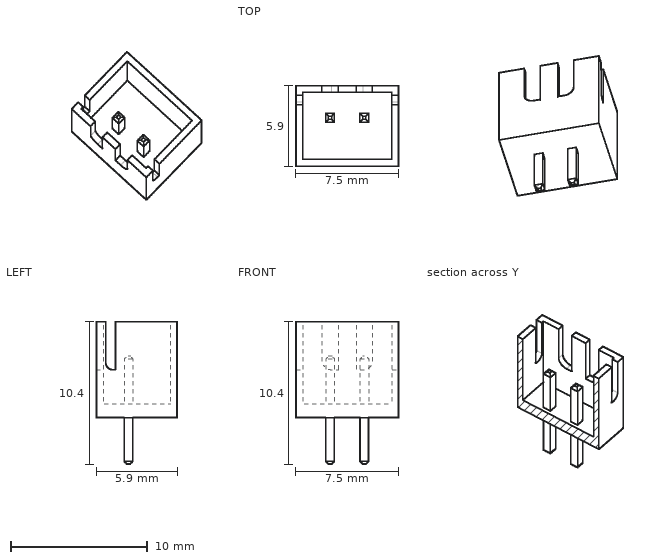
import cadquery as cq

length = 7.5
width = 5.9
height = 7.0
wall = 0.5
floor_thickness = 1.0
pin_to_back = 2.35

back_y = pin_to_back
front_y = back_y - width

slot_depth = 3.5
slot_floor_z = height - slot_depth

end_slot_offset = 0.7
end_slot_width = 0.7
end_slot_radius = 0.5

tongue_width = 1.3
back_slots_span = 3.7
back_slot_radius = 0.7

pin_pitch = 2.5
pin_side = 0.64
pin_tail = 3.4
pin_top_z = 4.5
pin_chamfer = 0.2


def make_housing():
    outer = cq.Workplane("XY").box(length, width, height, centered=(True, False, False))
    cavity = (
        cq.Workplane("XY")
        .workplane(offset=floor_thickness)
        .box(length - 2 * wall, width - 2 * wall, height, centered=(True, False, False))
        .translate((0, wall, 0))
    )
    return outer.cut(cavity).translate((0, front_y, 0))


def slot_profile(plane, rounded_side, square_side, radius):
    """Slot outline from its floor to the rim, with one bottom corner rounded."""
    inward = 1 if square_side > rounded_side else -1
    return (
        cq.Workplane(plane)
        .moveTo(rounded_side, height)
        .lineTo(rounded_side, slot_floor_z + radius)
        .radiusArc((rounded_side + inward * radius, slot_floor_z), -inward * radius)
        .lineTo(square_side, slot_floor_z)
        .lineTo(square_side, height)
        .close()
    )


def make_end_slots():
    """One cutter that passes through both end walls."""
    slot_back_y = back_y - end_slot_offset
    slot_front_y = slot_back_y - end_slot_width
    profile = slot_profile("YZ", slot_back_y, slot_front_y, end_slot_radius)
    return profile.extrude(length / 2, both=True)


def make_back_slot(side):
    """Cutter for the back wall slot on the given side of the tongue (-1 or 1)."""
    outer_x = side * back_slots_span / 2
    tongue_x = side * tongue_width / 2
    profile = slot_profile("XZ", outer_x, tongue_x, back_slot_radius)
    return profile.extrude(wall).translate((0, back_y, 0))


def make_pin(x):
    pin_length = pin_top_z + pin_tail
    return (
        cq.Workplane("XY")
        .box(pin_side, pin_side, pin_length, centered=(True, True, False))
        .faces("<Z or >Z")
        .chamfer(pin_chamfer)
        .translate((x, 0, -pin_tail))
    )


result = make_housing().cut(make_end_slots())
for side in (-1, 1):
    result = result.cut(make_back_slot(side))
for side in (-1, 1):
    result = result.union(make_pin(side * pin_pitch / 2))